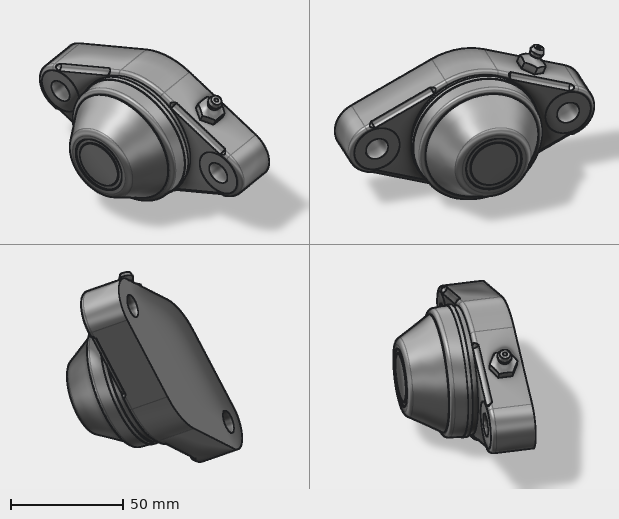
import cadquery as cq
import math

plate_length = 116.0
plate_depth = 20.0
body_radius = 31.0
ear_radius = 13.0
bolt_offset = plate_length / 2 - ear_radius
bolt_diameter = 10.4
edge_fillet = 2.0
pad_radius = 10.7
pad_height = 0.1

cove_radius = 2.4
cove_body_gap = 7.2
cove_ear_gap = 3.6

collar_radius = 29.0
flange_radius = 29.8
flange_start = 22.5
flange_end = 24.6
skirt_start_radius = 29.5
skirt_end_radius = 29.0
skirt_end = 32.5
skirt_fillet = 2.0
cone_start_radius = 26.6
cone_start = 32.8
cone_end_radius = 16.9
cap_depth = 49.0
cap_fillet = 3.4
groove_outer_radius = 13.2
groove_inner_radius = 10.8
groove_depth = 0.3

nipple_along = 20.2
nipple_depth = 9.0
hex_flats = 11.0
hex_height = 3.4
flare_mid_radius = 4.1
flare_mid_height = 4.5
neck_height = 6.3
neck_radius = 2.2
head_base_radius = 2.7
head_radius = 3.2
head_rim_height = 8.5
head_top_radius = 2.4
nipple_height = 10.4
dimple_radius = 0.9
embed = 1.2

flank_length = math.sqrt(bolt_offset**2 - (body_radius - ear_radius) ** 2)
flank_sin = (body_radius - ear_radius) / bolt_offset
flank_cos = flank_length / bolt_offset


def flange_plate():
    body_x, body_z = body_radius * flank_sin, body_radius * flank_cos
    ear_x, ear_z = bolt_offset + ear_radius * flank_sin, ear_radius * flank_cos
    half_length = plate_length / 2
    plate = (
        cq.Workplane("XZ")
        .moveTo(-body_x, body_z)
        .threePointArc((0, body_radius), (body_x, body_z))
        .lineTo(ear_x, ear_z)
        .threePointArc((half_length, 0), (ear_x, -ear_z))
        .lineTo(body_x, -body_z)
        .threePointArc((0, -body_radius), (-body_x, -body_z))
        .lineTo(-ear_x, -ear_z)
        .threePointArc((-half_length, 0), (-ear_x, ear_z))
        .close()
        .extrude(plate_depth)
    )
    return plate.faces("<Y").edges().fillet(edge_fillet)


def edge_cove():
    """Round bar with 45 degree pointed ends, lying on the upper right front edge."""
    start = cove_body_gap
    end = flank_length - cove_ear_gap
    edge = cq.Plane(
        origin=(body_radius * flank_sin, -plate_depth, body_radius * flank_cos),
        xDir=(flank_cos, 0, -flank_sin),
        normal=(0, -1, 0),
    )
    return (
        cq.Workplane(edge)
        .moveTo(start - cove_radius, 0)
        .lineTo(start, cove_radius)
        .lineTo(end, cove_radius)
        .lineTo(end + cove_radius, 0)
        .close()
        .revolve(360, (0, 0, 0), (1, 0, 0))
    )


def bearing_cap():
    """Revolved about Y; profile points are (radius, y)."""
    groove_floor = -cap_depth + groove_depth
    ring = (
        cq.Workplane("XY")
        .moveTo(0, -plate_depth + embed)
        .lineTo(collar_radius, -plate_depth + embed)
        .lineTo(collar_radius, -flange_start)
        .lineTo(flange_radius, -flange_start)
        .lineTo(flange_radius, -flange_end)
        .lineTo(skirt_start_radius, -flange_end)
        .lineTo(skirt_end_radius, -skirt_end)
        .lineTo(0, -skirt_end)
        .close()
        .revolve(360, (0, 0, 0), (0, 1, 0))
        .faces("<Y")
        .edges()
        .fillet(skirt_fillet)
    )
    cone = (
        cq.Workplane("XY")
        .moveTo(0, -skirt_end + embed)
        .lineTo(cone_start_radius, -skirt_end + embed)
        .lineTo(cone_start_radius, -cone_start)
        .lineTo(cone_end_radius, -cap_depth)
        .lineTo(0, -cap_depth)
        .close()
        .revolve(360, (0, 0, 0), (0, 1, 0))
        .faces("<Y")
        .edges()
        .fillet(cap_fillet)
    )
    groove = (
        cq.Workplane("XY")
        .moveTo(groove_inner_radius, -cap_depth)
        .lineTo(groove_outer_radius, -cap_depth)
        .lineTo(groove_outer_radius - groove_depth, groove_floor)
        .lineTo(groove_inner_radius + groove_depth, groove_floor)
        .close()
        .revolve(360, (0, 0, 0), (0, 1, 0))
    )
    return ring.union(cone).cut(groove)


def grease_nipple():
    """Hexagon with a flared neck and a tapered head; local Z leaves the flank."""
    hex_corner_diameter = hex_flats / math.cos(math.pi / 6)
    origin = (
        body_radius * flank_sin + nipple_along * flank_cos,
        -nipple_depth,
        body_radius * flank_cos - nipple_along * flank_sin,
    )
    seat = cq.Plane(origin=origin, xDir=(0, -1, 0), normal=(flank_sin, 0, flank_cos))
    turned = (
        cq.Workplane("XZ")
        .moveTo(0, -embed)
        .lineTo(hex_corner_diameter / 2, -embed)
        .lineTo(hex_corner_diameter / 2, hex_height)
        .threePointArc((flare_mid_radius, flare_mid_height), (neck_radius, neck_height))
        .lineTo(head_base_radius, neck_height)
        .lineTo(head_radius, head_rim_height)
        .lineTo(head_top_radius, nipple_height)
        .lineTo(dimple_radius, nipple_height)
        .lineTo(0, nipple_height - dimple_radius)
        .close()
        .revolve(360, (0, 0, 0), (0, 1, 0))
    )
    hexagon = (
        cq.Workplane("XY")
        .workplane(offset=-embed)
        .polygon(6, hex_corner_diameter)
        .extrude(nipple_height + embed)
    )
    nipple = turned.intersect(hexagon)
    return cq.Workplane(obj=nipple.val().moved(seat.location))


plate = flange_plate()

cove = edge_cove()
for mirrored in (cove, cove.mirror("YZ"), cove.mirror("XY"), cove.mirror("XY").mirror("YZ")):
    plate = plate.cut(mirrored)

bolt_points = [(-bolt_offset, 0), (bolt_offset, 0)]
pads = (
    cq.Workplane("XZ")
    .workplane(offset=plate_depth - embed)
    .pushPoints(bolt_points)
    .circle(pad_radius)
    .extrude(embed + pad_height)
)
holes = (
    cq.Workplane("XZ")
    .pushPoints(bolt_points)
    .circle(bolt_diameter / 2)
    .extrude(plate_depth + pad_height)
)

result = plate.union(pads).union(bearing_cap()).union(grease_nipple()).cut(holes)